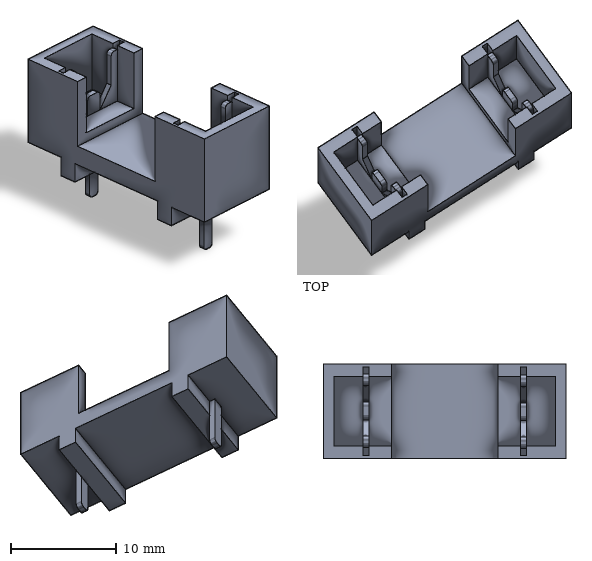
import cadquery as cq

housing_length = 23.0
housing_width = 9.0
housing_height = 9.0
box_length = 6.46
bridge_thickness = 2.0
end_wall = 1.0
side_wall = 1.22
pocket_depth = 6.0
foot_height = 2.0
foot_inner_x = 5.38

clip_thickness = 0.58
clip_inner_x = 7.2
clip_width = 7.0
clip_play = 0.05
side_prong_width = 1.1
middle_prong_width = 1.7
side_prong_height = 5.57
middle_prong_height = 2.05
ramp_height = 2.05
pin_width = 1.15
pin_length = 6.0
corner_radius = 0.4

slot_width = 8.4

pocket_floor_z = housing_height - pocket_depth
slot_floor_z = bridge_thickness
pocket_length = box_length - end_wall
pocket_width = housing_width - 2 * side_wall
box_inner_x = housing_length / 2 - box_length
clip_center_x = clip_inner_x + clip_thickness / 2
foot_length = clip_inner_x - foot_inner_x
ends = (-1, 1)


def block(size_x, size_y, z_bottom, z_top, center_x=0.0, center_y=0.0):
    """Upright box between two heights, centred on the given X and Y."""
    return (
        cq.Workplane("XY", origin=(center_x, center_y, z_bottom))
        .rect(size_x, size_y)
        .extrude(z_top - z_bottom)
    )


def clip_offset_y(end):
    return -end * clip_play


def make_housing():
    body = block(housing_length, housing_width, 0, bridge_thickness)
    for end in ends:
        box_x = end * (box_inner_x + box_length / 2)
        pocket_x = end * (box_inner_x + pocket_length / 2)
        foot_x = end * (foot_inner_x + foot_length / 2)
        clip_x = end * clip_center_x
        pin_y = clip_offset_y(end)

        box = block(box_length, housing_width, 0, housing_height, box_x)
        foot = block(foot_length, housing_width, -foot_height, 0, foot_x)
        body = body.union(box).union(foot)

        pocket = block(pocket_length, pocket_width, pocket_floor_z, housing_height, pocket_x)
        slot = block(clip_thickness, slot_width, slot_floor_z, housing_height, clip_x)
        pin_hole = block(clip_thickness, pin_width, 0, slot_floor_z, clip_x, pin_y)
        body = body.cut(pocket).cut(slot).cut(pin_hole)
    return body


def round_top(prong):
    return prong.edges("|X and >Z").fillet(corner_radius)


def make_clip(end):
    clip_x = end * clip_center_x
    center_y = clip_offset_y(end)
    side_top_z = pocket_floor_z + side_prong_height
    middle_top_z = pocket_floor_z + middle_prong_height

    clip = block(clip_thickness, clip_width, slot_floor_z, pocket_floor_z, clip_x, center_y)

    middle_prong = block(
        clip_thickness, middle_prong_width, slot_floor_z, middle_top_z, clip_x, center_y
    )
    clip = clip.union(round_top(middle_prong))

    for side in (-1, 1):
        prong_y = center_y + side * (clip_width - side_prong_width) / 2
        prong = block(clip_thickness, side_prong_width, slot_floor_z, side_top_z, clip_x, prong_y)
        clip = clip.union(round_top(prong))

        ramp_high_y = center_y + side * (clip_width / 2 - side_prong_width)
        ramp_low_y = center_y + side * middle_prong_width / 2
        ramp = (
            cq.Workplane("YZ", origin=(clip_x, 0, 0))
            .moveTo(ramp_low_y, pocket_floor_z)
            .lineTo(ramp_high_y, pocket_floor_z)
            .lineTo(ramp_high_y, pocket_floor_z + ramp_height)
            .close()
            .extrude(clip_thickness / 2, both=True)
        )
        clip = clip.union(ramp)

    pin = block(clip_thickness, pin_width, -pin_length, slot_floor_z, clip_x, center_y)
    pin = pin.edges("|X and <Z").fillet(corner_radius)
    return clip.union(pin)


housing = make_housing()
clips = [make_clip(end) for end in ends]

result = cq.Compound.makeCompound([housing.val(), *[clip.val() for clip in clips]])